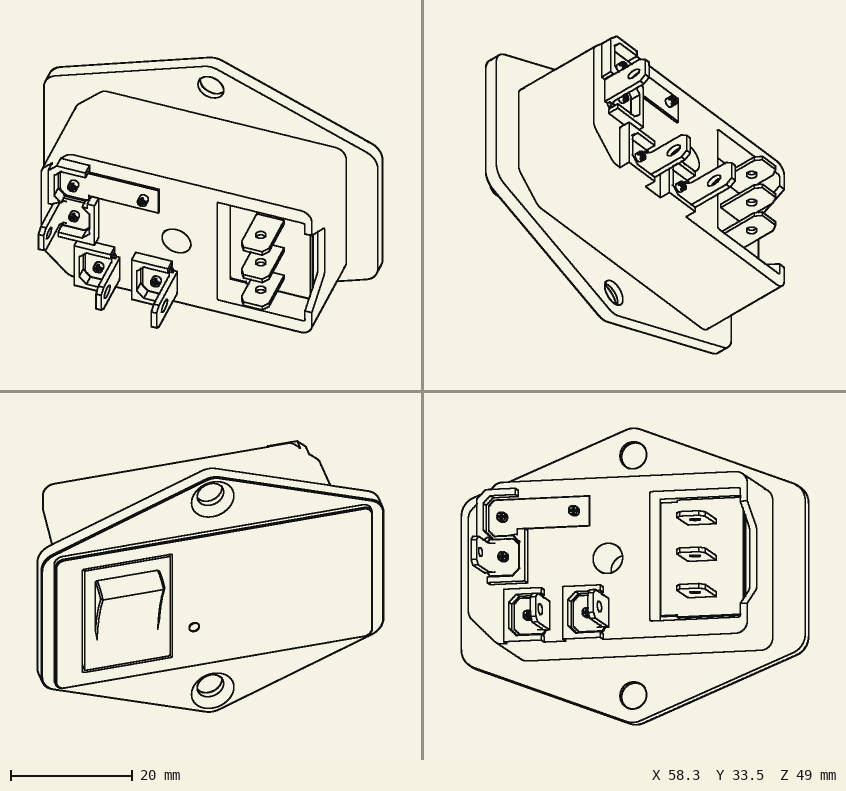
import cadquery as cq
import math


flange_width = 58.3
flange_height = 49.05
flange_corner_radius = 3.2
flange_side_half = 11.15
flange_thickness = 2.5
mount_hole_diameter = 4.5
countersink_diameter = 7.25
countersink_wall_angle = 45.0
mount_hole_offset = 20.0
bezel_width = 54.0
bezel_corner_radius = 1.45
bezel_height = 0.95
front_edge_chamfer = 0.2
nub_diameter = 1.7
nub_height = 0.2
nub_x = 3.45
nub_z = -5.2

box_width = 47.3
box_height = 26.95
box_depth = 16.45
box_corner_cut = 4.9
box_corner_radius = 2.0
core_hole_diameter = 5.0
core_hole_depth = 11.65

opening_left = 7.1
opening_right = 22.45
opening_height = 21.6
opening_corner_radius = 0.35
notch_rear_half = 8.5
notch_deep_half = 5.1
notch_depth = 6.1
notch_corner_radius = 1.0

rib_height = 2.0
seat_length = 6.35
rib_half = 4.4
rib_inner_half = 3.45
rib_back_thickness = 0.9
rib_corner_cut = 1.3
plate_thickness = 0.5
plate_back = 1.4
plate_half = 3.05
plate_corner_cut = 0.95
plate_neck_length = 0.35
terminal_blade_thickness = 0.95
bend_radius = 0.95
blade_width = 4.8
tip_cut_length = 1.15
tip_cut_width = 0.75
lower_seat_z = rib_half - box_height / 2
lower_seat_x = -17.15
lower_seat_pitch = 10.0
upper_seat_x = -13.6
upper_seat_z = 0.9

terminal_specs = [
    (upper_seat_x, upper_seat_z, True, 25.3, 1.4, 2.45, 22.75),
    (lower_seat_x, lower_seat_z, False, 25.4, 1.7, 2.8, 22.55),
    (lower_seat_x + lower_seat_pitch, lower_seat_z, False, 26.4, 1.7, 2.8, 22.55),
]

screw_diameter = 1.5
screw_height = 1.5
screw_slot_width = 0.3
screw_slot_depth = 0.4
seat_screw_u = 3.9

strap_thickness = 0.35
strap_left = -20.1
strap_right = -3.05
strap_step_x = -15.2
strap_top = 10.5
strap_arm_bottom = 5.55
strap_bottom = 4.5
strap_corner_cut = 0.95
strap_clearance = 0.35
guard_left = -21.7
guard_top = 12.0
guard_right = -15.15
guard_inner_left = -20.65
guard_inner_top = 10.95
guard_inner_bottom = 4.1
guard_bottom = 3.25
guard_corner_cut = 1.2
guard_foot_right = -21.0
guard_foot_shoulder = -19.9

switch_gap = 0.4
switch_rear_depth = 12.35
switch_step_depth = 11.35
switch_rear_left = 7.9
switch_rear_right = 21.85
switch_rear_step_x = 10.65
switch_rear_half = 9.75
switch_rear_step = 0.35
switch_rear_center_z = 0.2
switch_blade_x = 14.9
switch_blade_pitch = 6.05
switch_blade_thickness = 0.75
switch_blade_tip_depth = 20.75
switch_blade_hole_diameter = 1.7
switch_blade_hole_depth = 16.95
rocker_left = 9.3
rocker_right = 20.25
rocker_tip_depth = -7.05
rocker_tip_z = 6.65
rocker_top_z = 7.9
rocker_top_mid = (-5.4, 7.6)
rocker_face_mid = (-4.85, 1.75)
rocker_bottom_z = -4.4
rocker_edge_chamfer = 0.3

front_depth = -(flange_thickness + bezel_height)
rib_top_depth = box_depth + rib_height
opening_center_x = (opening_left + opening_right) / 2
opening_width = opening_right - opening_left


def plane_at(depth):
    """X-Z work plane at the given depth; it extrudes toward the rear."""
    return cq.Workplane("XZ", origin=(0, -depth, 0))


def prism(points, start, end):
    """Prism over an outline of (x, z) points between two depths."""
    return plane_at(start).polyline(points).close().extrude(end - start)


def block(width, height, start, end, x=0, z=0):
    """Rectangular block centred on (x, z) between two depths."""
    return plane_at(start).center(x, z).rect(width, height).extrude(end - start)


def seat_to_part(body, x, z, mirrored):
    """Move a body from seat coordinates to its place on the rear face."""
    if mirrored:
        body = body.mirror("YZ")
    return body.translate((x, 0, z))


def blade(root, tip, thickness, hole_width, hole_length, hole_depth):
    """Flat contact blade lying in the X-Y plane, with a cut-cornered tip and a round or oval hole."""
    half = blade_width / 2
    tip_half = half - tip_cut_width
    shoulder = tip - tip_cut_length
    outline = [
        (-half, -root), (-half, -shoulder), (-tip_half, -tip),
        (tip_half, -tip), (half, -shoulder), (half, -root),
    ]
    body = cq.Workplane("XY").polyline(outline).close().extrude(thickness / 2, both=True)
    hole = cq.Workplane("XY").center(0, -hole_depth).ellipse(hole_width / 2, hole_length / 2)
    return body.cut(hole.extrude(thickness, both=True))


def screw_head(x, z):
    """Screw head with a cross slot, standing on the rear face of the box."""
    top = box_depth + screw_height
    head = plane_at(box_depth).center(x, z).circle(screw_diameter / 2).extrude(screw_height)
    slot_floor = top - screw_slot_depth
    head = head.cut(block(screw_diameter, screw_slot_width, slot_floor, top, x, z))
    return head.cut(block(screw_slot_width, screw_diameter, slot_floor, top, x, z))


def flange():
    """Six-sided flange with rounded corners and two mounting holes, countersunk at the front."""
    corner_x = flange_width / 2 - flange_corner_radius
    apex_z = flange_height / 2 - flange_corner_radius
    corner_centers = [
        (corner_x, -flange_side_half), (corner_x, flange_side_half), (0, apex_z),
        (-corner_x, flange_side_half), (-corner_x, -flange_side_half), (0, -apex_z),
    ]
    body = plane_at(-flange_thickness).polyline(corner_centers).close()
    body = body.offset2D(flange_corner_radius).extrude(flange_thickness)
    body = body.faces(">Y").edges().chamfer(front_edge_chamfer)
    countersink_depth = (countersink_diameter - mount_hole_diameter) / 2
    for z in (mount_hole_offset, -mount_hole_offset):
        front = plane_at(-flange_thickness).center(0, z)
        body = body.cut(front.circle(mount_hole_diameter / 2).extrude(flange_thickness))
        rim = front.circle(countersink_diameter / 2)
        body = body.cut(rim.extrude(countersink_depth, taper=countersink_wall_angle))
    return body


def bezel():
    """Raised rectangular bezel with a small round nub on its front."""
    body = block(bezel_width, box_height, front_depth, -flange_thickness)
    body = body.edges("|Y").fillet(bezel_corner_radius)
    body = body.faces(">Y").edges().chamfer(front_edge_chamfer)
    nub = plane_at(front_depth - nub_height).center(nub_x, nub_z).circle(nub_diameter / 2)
    return body.union(nub.extrude(nub_height))


def box_outline():
    """Corners of the box: two corners cut at 45 degrees on the -X side."""
    half_w = box_width / 2
    half_h = box_height / 2
    return [
        (-half_w + box_corner_cut, half_h), (half_w, half_h),
        (half_w, -half_h), (-half_w + box_corner_cut, -half_h),
        (-half_w, -half_h + box_corner_cut), (-half_w, half_h - box_corner_cut),
    ]


def housing_box():
    """Box behind the flange with rounded long edges and a blind hole in its rear."""
    body = prism(box_outline(), 0, box_depth).edges("|Y").fillet(box_corner_radius)
    core_hole = plane_at(box_depth - core_hole_depth).circle(core_hole_diameter / 2)
    return body.cut(core_hole.extrude(core_hole_depth))


def switch_opening():
    """Space for the switch, right through the housing."""
    body = block(opening_width, opening_height, front_depth, box_depth, opening_center_x)
    return body.edges("|Y").fillet(opening_corner_radius)


def side_notch():
    """Tapered notch in the rear edge of the +X wall."""
    floor = box_depth - notch_depth
    outline = [
        (-box_depth, notch_rear_half), (-floor, notch_deep_half),
        (-floor, -notch_deep_half), (-box_depth, -notch_rear_half),
    ]
    body = cq.Workplane("YZ", origin=(opening_center_x, 0, 0)).polyline(outline).close()
    return body.extrude(box_width / 2 - opening_center_x).edges(">Y and |X").fillet(notch_corner_radius)


def seat_rib():
    """U-shaped guard rib round a terminal, with cut inner corners."""
    arm_start = rib_back_thickness + rib_corner_cut
    cut_half = rib_inner_half - rib_corner_cut
    outline = [
        (0, rib_half), (seat_length, rib_half), (seat_length, rib_inner_half), (arm_start, rib_inner_half),
        (rib_back_thickness, cut_half), (rib_back_thickness, -cut_half),
        (arm_start, -rib_inner_half), (seat_length, -rib_inner_half),
        (seat_length, -rib_half), (0, -rib_half),
    ]
    return prism(outline, box_depth, rib_top_depth)


def seat_ribs():
    """Guard ribs of all terminals; the upper one stops short of the strap."""
    strap_gap_right = strap_step_x + strap_clearance
    strap_gap_bottom = upper_seat_z + rib_inner_half
    strap_gap = prism(
        [
            (strap_left, strap_gap_bottom), (strap_gap_right, strap_gap_bottom),
            (strap_gap_right, guard_top), (strap_left, guard_top),
        ],
        box_depth, rib_top_depth,
    )
    ribs = []
    for x, z, mirrored, *_ in terminal_specs:
        ribs.append(seat_to_part(seat_rib(), x, z, mirrored).cut(strap_gap))
    return ribs


def strap_guard():
    """Guard rib round the end of the strap, trimmed by the cut corner of the box."""
    outline = [
        (guard_left, guard_top), (guard_right, guard_top), (guard_right, guard_inner_top),
        (guard_inner_left + guard_corner_cut, guard_inner_top),
        (guard_inner_left, guard_inner_top - guard_corner_cut),
        (guard_inner_left, guard_inner_bottom + guard_corner_cut),
        (guard_inner_left + guard_corner_cut, guard_inner_bottom),
        (guard_foot_shoulder, guard_inner_bottom),
        (guard_foot_right, guard_bottom), (guard_left, guard_bottom),
    ]
    guard = prism(outline, box_depth, rib_top_depth)
    return guard.intersect(prism(box_outline(), box_depth, rib_top_depth))


def strap():
    """Thin stepped contact strap on the rear face, held by two screws."""
    outline = [
        (strap_left, strap_top - strap_corner_cut), (strap_left + strap_corner_cut, strap_top),
        (strap_right, strap_top), (strap_right, strap_arm_bottom),
        (strap_step_x, strap_arm_bottom), (strap_step_x, strap_bottom),
        (strap_left + strap_corner_cut, strap_bottom), (strap_left, strap_bottom + strap_corner_cut),
    ]
    body = prism(outline, box_depth, box_depth + strap_thickness)
    left_screw = screw_head((strap_left + strap_step_x) / 2, (strap_top + strap_bottom) / 2)
    right_screw_x = strap_right - (strap_top - strap_arm_bottom) / 2
    right_screw_z = (strap_top + strap_arm_bottom) / 2
    right_screw = screw_head(right_screw_x, right_screw_z)
    return body.union(left_screw).union(right_screw)


def make_housing():
    body = flange().union(bezel()).union(housing_box())
    body = body.cut(switch_opening()).cut(side_notch())
    for rib in seat_ribs():
        body = body.union(rib)
    return body.union(strap_guard()).union(strap())


def terminal_plate():
    """Base plate of a terminal with cut back corners, necked to the blade width."""
    blade_half = blade_width / 2
    neck = seat_length + plate_neck_length
    end = seat_length + terminal_blade_thickness
    upper_side = [
        (plate_back, plate_half - plate_corner_cut), (plate_back + plate_corner_cut, plate_half),
        (seat_length, plate_half), (neck, blade_half), (end, blade_half),
    ]
    lower_side = [(u, -v) for u, v in reversed(upper_side)]
    return prism(upper_side + lower_side, box_depth, box_depth + plate_thickness)


def terminal_bend():
    """Rounded inside corner between base plate and blade."""
    y = -(box_depth + plate_thickness)
    arc_mid = bend_radius * (1 - math.cos(math.radians(45)))
    profile = cq.Workplane("XY", origin=(0, 0, -blade_width / 2)).moveTo(seat_length - bend_radius, y)
    profile = profile.threePointArc((seat_length - arc_mid, y - arc_mid), (seat_length, y - bend_radius))
    return profile.lineTo(seat_length, y).close().extrude(blade_width)


def make_terminal(x, z, mirrored, tip_depth, hole_width, hole_length, hole_depth):
    upright = blade(box_depth, tip_depth, terminal_blade_thickness, hole_width, hole_length, hole_depth)
    upright = upright.rotate((0, 0, 0), (0, 1, 0), 90)
    upright = upright.translate((seat_length + terminal_blade_thickness / 2, 0, 0))
    body = terminal_plate().union(terminal_bend()).union(upright)
    body = body.union(screw_head(seat_screw_u, 0))
    return seat_to_part(body, x, z, mirrored)


def switch_body():
    """Switch block filling the opening with a clearance gap, stepped in at its rear."""
    front_block = block(
        opening_width - 2 * switch_gap, opening_height - 2 * switch_gap,
        front_depth, switch_step_depth, opening_center_x,
    )
    narrow_half = switch_rear_half - switch_rear_step
    upper_side = [
        (switch_rear_left, narrow_half), (switch_rear_step_x, narrow_half),
        (switch_rear_step_x, switch_rear_half), (switch_rear_right, switch_rear_half),
    ]
    lower_side = [(x, -z) for x, z in reversed(upper_side)]
    rear_block = prism(upper_side + lower_side, switch_step_depth, switch_rear_depth)
    return front_block.union(rear_block.translate((0, 0, switch_rear_center_z)))


def rocker():
    """Tilted rocker with a hollow face, standing out of the switch block."""
    profile = cq.Workplane("YZ", origin=(rocker_left, 0, 0)).moveTo(-front_depth, rocker_bottom_z)
    profile = profile.threePointArc(
        (-rocker_face_mid[0], rocker_face_mid[1]), (-rocker_tip_depth, rocker_tip_z)
    )
    profile = profile.threePointArc(
        (-rocker_top_mid[0], rocker_top_mid[1]), (-front_depth, rocker_top_z)
    )
    body = profile.close().extrude(rocker_right - rocker_left)
    return body.faces("<X or >X").edges("not <Y").chamfer(rocker_edge_chamfer)


def make_switch():
    body = switch_body().union(rocker())
    for row in (-1, 0, 1):
        contact = blade(
            switch_rear_depth, switch_blade_tip_depth, switch_blade_thickness,
            switch_blade_hole_diameter, switch_blade_hole_diameter, switch_blade_hole_depth,
        )
        body = body.union(contact.translate((switch_blade_x, 0, row * switch_blade_pitch)))
    return body


housing = make_housing()
switch = make_switch()
terminals = [make_terminal(*spec) for spec in terminal_specs]

result = cq.Compound.makeCompound(
    [housing.val(), switch.val(), *[terminal.val() for terminal in terminals]]
)